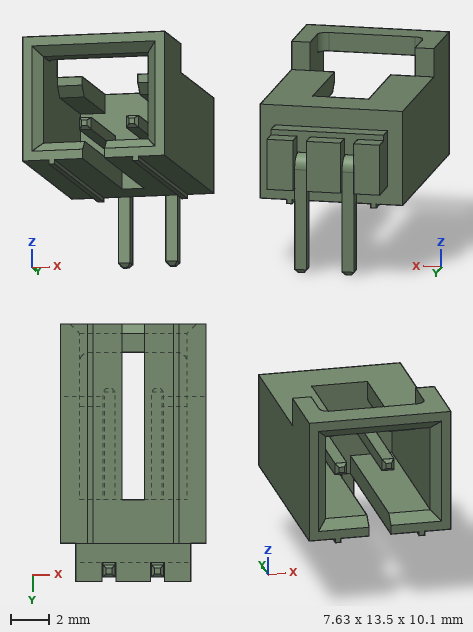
import cadquery as cq

body_width = 7.63
body_length = 11.5
body_height = 6.6
wall = 1.0
mouth_chamfer = wall / 2
cavity_width = body_width - 2 * wall
cavity_depth = 9.21

step_y = 3.8
roof_top = 5.08
roof_bottom = roof_top - wall
roof_lip = 0.54
roof_slot_width = 3.0
bridge_length = 1.5
notch_radius = 0.5
floor_slot_width = 1.17

foot_width = 0.3
foot_height = 0.22
foot_spacing = 4.51

block_width = 6.03
total_length = 13.5
ledge_y = 12.5
block_bottom = 1.0
ledge_top = 3.7
block_top = 4.0
pin_clearance = 0.04

pin_pitch = 2.54
pin_size = 0.63
pin_height = 2.52
pin_front = 3.38
pin_bottom = -3.5
pin_leg_y = 12.95
tip_length = 0.2
tip_size = 0.3
bend_radius = 0.75


def block(width, y_range, z_range, x=0):
    """Box centred on x, spanning the given Y and Z ranges."""
    y0, y1 = y_range
    z0, z1 = z_range
    return cq.Workplane("XY").box(width, y1 - y0, z1 - z0, centered=(True, False, False)).translate((x, y0, z0))


def make_cavity():
    front = block(cavity_width, (0, step_y), (wall, body_height - wall))
    rear = block(cavity_width, (0, cavity_depth), (wall, roof_bottom))
    mouth = (
        cq.Workplane("XZ")
        .center(0, body_height / 2)
        .rect(body_width - 2 * mouth_chamfer, body_height - 2 * mouth_chamfer)
        .workplane(offset=-mouth_chamfer)
        .rect(cavity_width, body_height - 2 * wall)
        .loft(combine=True)
    )
    roof_lead_in = (
        cq.Workplane("YZ")
        .polyline([(step_y, roof_bottom), (step_y + roof_lip, roof_bottom), (step_y, roof_bottom + roof_lip)])
        .close()
        .extrude(cavity_width / 2, both=True)
    )
    return front.union(rear).union(mouth).union(roof_lead_in)


def make_shroud():
    shroud = block(body_width, (0, body_length), (0, body_height))
    shroud = shroud.cut(block(body_width, (step_y, body_length), (roof_top, body_height)))
    shroud = shroud.cut(make_cavity())
    notch = block(cavity_width, (bridge_length, step_y), (body_height - wall, body_height))
    shroud = shroud.cut(notch.edges("|Z and <Y").fillet(notch_radius))
    shroud = shroud.cut(block(roof_slot_width, (step_y, cavity_depth), (wall, roof_top)))
    shroud = shroud.cut(block(floor_slot_width, (0, cavity_depth), (0, wall)))
    for side in (-1, 1):
        foot = block(foot_width, (0, body_length), (-foot_height, 0), side * foot_spacing / 2)
        shroud = shroud.union(foot)
    return shroud


def make_rear_block():
    rear = block(block_width, (body_length, ledge_y), (block_bottom, block_top))
    rear = rear.union(block(block_width, (ledge_y, total_length), (block_bottom, ledge_top)))
    for side in (-1, 1):
        slot_width = pin_size + 2 * pin_clearance
        rear = rear.cut(block(slot_width, (ledge_y, total_length), (block_bottom, ledge_top), side * pin_pitch / 2))
    return rear


def make_tip(plane):
    """Tapered pin end, starting at the plane origin and pointing along its normal."""
    return (
        cq.Workplane(plane)
        .rect(pin_size, pin_size)
        .workplane(offset=tip_length)
        .rect(tip_size, tip_size)
        .loft(combine=True)
    )


def make_pin(x):
    half = pin_size / 2
    leg_back = pin_leg_y + half
    shank_start = pin_front + tip_length
    leg_end = pin_bottom + tip_length
    shank = block(pin_size, (shank_start, leg_back), (pin_height - half, pin_height + half))
    leg = block(pin_size, (pin_leg_y - half, leg_back), (leg_end, pin_height + half))
    pin = shank.union(leg).edges("|X and >Y and >Z").fillet(bend_radius)
    pin = pin.union(make_tip(cq.Plane((0, shank_start, pin_height), (1, 0, 0), (0, -1, 0))))
    pin = pin.union(make_tip(cq.Plane((0, pin_leg_y, leg_end), (1, 0, 0), (0, 0, -1))))
    return pin.translate((x, 0, 0))


result = make_shroud().union(make_rear_block())
for side in (-1, 1):
    result = result.union(make_pin(side * pin_pitch / 2))